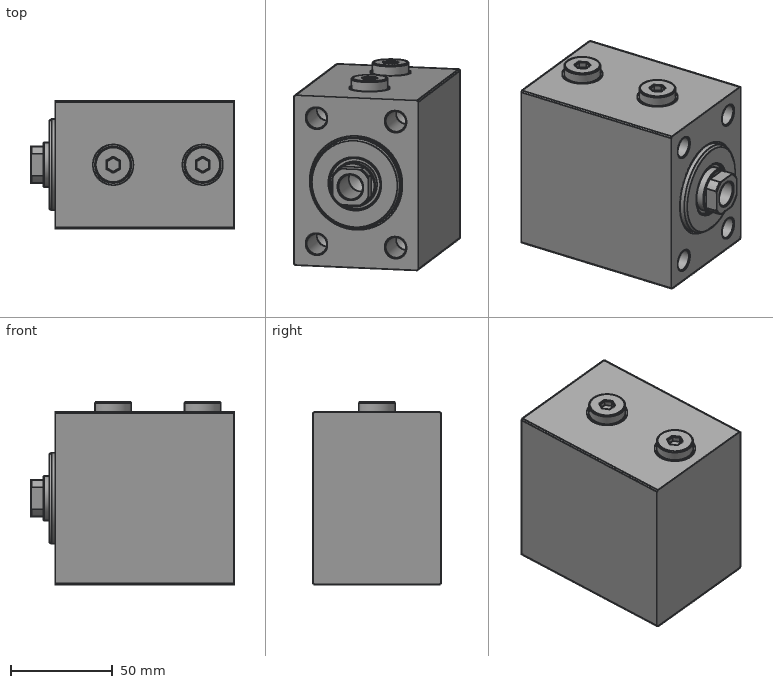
import cadquery as cq
import math


block_length = 88.0
block_width = 63.0
block_height = 85.0
block_chamfer = 0.7
mount_pitch_y = 40.0
mount_pitch_z = 63.0
mount_diameter = 10.2
mount_chamfer = 0.45
mount_depth = 22.0
drill_point_angle = 118.0

gland_diameter = 45.0
gland_projection = 3.0
gland_depth = 15.0
gland_chamfer_length = 1.2
gland_chamfer_width = 0.9
gland_seat_chamfer = 1.0
wiper_recess_diameter = 25.4
wiper_recess_depth = 1.5
wiper_step_diameter = 26.7
wiper_step_depth = 0.7

rod_diameter = 22.0
rod_chamfer = 0.4
rod_shoulder_x = -5.8
rod_tip_x = -12.0
wrench_flats = 18.0
wrench_diameter = 21.0
wrench_chamfer = 0.4
rod_thread_diameter = 12.2
rod_thread_chamfer = 0.5
rod_thread_depth = 22.0

port_first_x = 28.5
port_pitch = 44.0
plug_diameter = 18.0
plug_projection = 4.9
plug_chamfer_height = 0.6
plug_chamfer_width = 0.5
plug_hex_flats = 6.0
plug_hex_chamfer = 0.5
plug_hex_depth = 2.9
port_recess_diameter = 20.0
port_recess_depth = 0.3

hexagon_half_sector = 30.0
block_top = block_height / 2
port_positions = [port_first_x, port_first_x + port_pitch]
rod_inner_end_x = gland_depth


def revolve_about_x(profile):
    """Revolve a closed list of (x, radius) points about the X axis."""
    return cq.Workplane("XY").polyline(profile).close().revolve(360, (0, 0, 0), (1, 0, 0))


def disc_along_x(x_start, x_end, diameter):
    """Cylinder on the X axis between two X positions."""
    return cq.Workplane("YZ", origin=(x_start, 0, 0)).circle(diameter / 2).extrude(x_end - x_start)


def drilled_hole(mouth_x, diameter, depth, chamfer):
    """Cutter for a blind hole toward +X with a chamfered mouth and a conical drill point."""
    radius = diameter / 2
    point_length = radius / math.tan(math.radians(drill_point_angle / 2))
    return revolve_about_x([
        (mouth_x, 0),
        (mouth_x, radius + chamfer),
        (mouth_x + chamfer, radius),
        (mouth_x + depth, radius),
        (mouth_x + depth + point_length, 0),
    ])


def make_block():
    block = cq.Workplane("XY").box(block_length, block_width, block_height, centered=(False, True, True))
    block = block.edges("|X").chamfer(block_chamfer)

    seat_radius = gland_diameter / 2
    block = block.cut(revolve_about_x([
        (0, 0),
        (0, seat_radius + gland_seat_chamfer),
        (gland_seat_chamfer, seat_radius),
        (gland_depth, seat_radius),
        (gland_depth, 0),
    ]))

    mount_hole = drilled_hole(0, mount_diameter, mount_depth, mount_chamfer)
    for side_y in (-1, 1):
        for side_z in (-1, 1):
            offset = (0, side_y * mount_pitch_y / 2, side_z * mount_pitch_z / 2)
            block = block.cut(mount_hole.translate(offset))

    for port_x in port_positions:
        recess = (
            cq.Workplane("XY", origin=(port_x, 0, block_top - port_recess_depth))
            .circle(port_recess_diameter / 2)
            .extrude(port_recess_depth)
        )
        block = block.cut(recess)
    return block


def make_gland():
    radius = gland_diameter / 2
    gland = revolve_about_x([
        (-gland_projection, 0),
        (-gland_projection, radius - gland_chamfer_width),
        (gland_chamfer_length - gland_projection, radius),
        (gland_depth, radius),
        (gland_depth, 0),
    ])
    face_x = -gland_projection
    step = disc_along_x(face_x, face_x + wiper_step_depth, wiper_step_diameter)
    recess = disc_along_x(face_x, face_x + wiper_recess_depth, wiper_recess_diameter)
    rod_bore = disc_along_x(face_x, gland_depth, rod_diameter)
    return gland.cut(step).cut(recess).cut(rod_bore)


def make_rod():
    shaft = disc_along_x(rod_shoulder_x, rod_inner_end_x, rod_diameter).faces("<X").chamfer(rod_chamfer)

    wrench_length = rod_shoulder_x - rod_tip_x
    square = (
        cq.Workplane("YZ", origin=(rod_tip_x, 0, 0))
        .rect(wrench_flats, wrench_flats)
        .extrude(wrench_length)
    )
    turned = disc_along_x(rod_tip_x, rod_shoulder_x, wrench_diameter).faces("<X").chamfer(wrench_chamfer)
    rod = shaft.union(square.intersect(turned))
    return rod.cut(drilled_hole(rod_tip_x, rod_thread_diameter, rod_thread_depth, rod_thread_chamfer))


def across_corners(flats):
    """Corner-to-corner size of a hexagon from its size across flats."""
    return flats / math.cos(math.radians(hexagon_half_sector))


def hexagon(x, z, flats):
    """Hexagon outline in a horizontal plane, with two flats square to X."""
    plane = cq.Workplane("XY", origin=(x, 0, z)).transformed(rotate=(0, 0, hexagon_half_sector))
    return plane.polygon(6, across_corners(flats))


def make_plug(port_x):
    plug = (
        cq.Workplane("XY", origin=(port_x, 0, block_top - port_recess_depth))
        .circle(plug_diameter / 2)
        .extrude(port_recess_depth + plug_projection)
        .faces(">Z")
        .chamfer(plug_chamfer_height, plug_chamfer_width)
    )
    plug_top = block_top + plug_projection
    socket = hexagon(port_x, plug_top - plug_hex_depth, plug_hex_flats).extrude(plug_hex_depth)
    mouth_flats = plug_hex_flats + 2 * plug_hex_chamfer
    mouth = (
        hexagon(port_x, plug_top - plug_hex_chamfer, plug_hex_flats)
        .workplane(offset=plug_hex_chamfer)
        .polygon(6, across_corners(mouth_flats))
        .loft(ruled=True)
    )
    return plug.cut(socket).cut(mouth)


block = make_block()
gland = make_gland()
rod = make_rod()
plugs = [make_plug(port_x) for port_x in port_positions]

result = cq.Compound.makeCompound([block.val(), gland.val(), rod.val(), *[plug.val() for plug in plugs]])